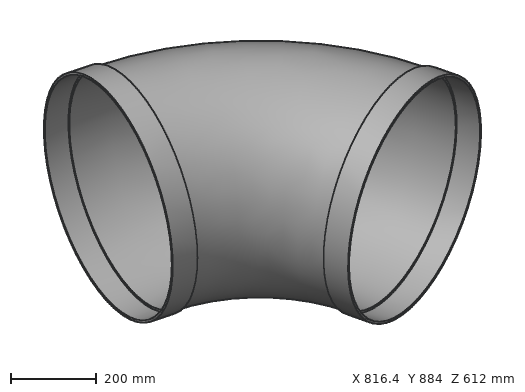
import cadquery as cq
import math

collar_diameter = 612.0
pipe_diameter = 600.0
bore_diameter = 588.5
pipe_insertion = 3.5
bend_radius = pipe_diameter
bend_angle = 60
overall_depth = 884

angle = math.radians(bend_angle)
collar_length = (
    overall_depth - (bend_radius + collar_diameter / 2) * math.sin(angle)
) / (1 + math.cos(angle))

bend_end = (
    bend_radius * (1 - math.cos(angle)),
    collar_length + bend_radius * math.sin(angle),
    0,
)
end_direction = (math.sin(angle), math.cos(angle), 0)
inlet_plane = cq.Plane(origin=(0, 0, 0), xDir=(1, 0, 0), normal=(0, 1, 0))
bend_plane = cq.Plane(origin=(0, collar_length, 0), xDir=(1, 0, 0), normal=(0, 1, 0))
outlet_plane = cq.Plane(origin=bend_end, xDir=(0, 0, 1), normal=end_direction)


def pipe_ring(plane):
    """Cross-section of the pipe on a plane across the centre line."""
    return cq.Workplane(plane).circle(pipe_diameter / 2).circle(bore_diameter / 2)


def bent_pipe():
    """Pipe bend with a short straight end reaching into each collar."""
    bend = pipe_ring(bend_plane).revolve(bend_angle, (bend_radius, 0), (bend_radius, 1))
    inlet_end = pipe_ring(bend_plane).extrude(-pipe_insertion)
    outlet_end = pipe_ring(outlet_plane).extrude(pipe_insertion)
    return bend.union(inlet_end).union(outlet_end)


def collar(plane):
    """Straight socket ring running along the plane normal."""
    ring = cq.Workplane(plane).circle(collar_diameter / 2).circle(pipe_diameter / 2)
    return ring.extrude(collar_length)


result = bent_pipe().union(collar(inlet_plane)).union(collar(outlet_plane))